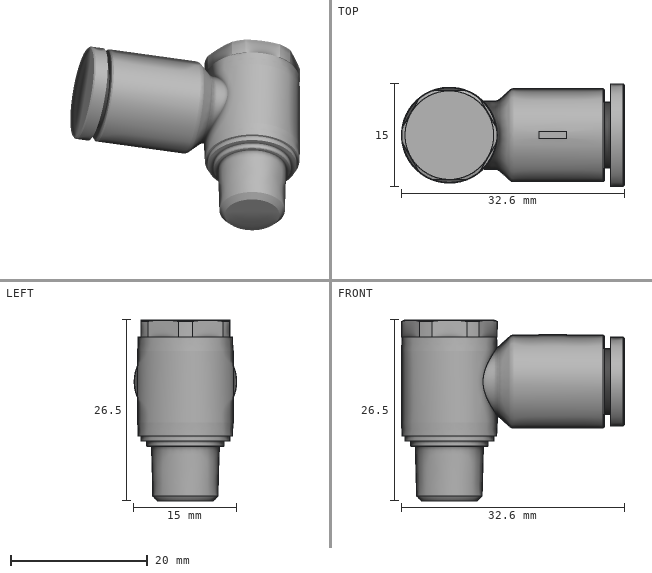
import cadquery as cq
import math

overall_length = 32.6

barrel_r = 7.0
barrel_end_r = 6.9
barrel_bottom_z = 9.52
lower_taper_z = 11.5
upper_taper_z = 21.95
barrel_top_z = 24.03

wide_step_r = 6.52
wide_step_bottom_z = 8.8
narrow_step_r = 5.67
narrow_step_bottom_z = 8.02
step_edge_chamfer = 0.1

spigot_top_r = 5.0
spigot_bottom_r = 4.8
spigot_chamfer = 0.78

head_top_z = 26.5
head_sides = 6
head_across_flats = 13.05
head_corner_r = barrel_r
head_top_r = 6.5
head_chamfer_height = 0.2

branch_z = 17.5
neck_r = 5.0
cone_start_x = 7.07
cone_end_x = 9.1
cone_blend_r = 0.9
sleeve_r = 6.8
sleeve_end_x = 22.7
edge_chamfer = 0.2
groove_r = 4.82

collar_start_x = 23.57
collar_end_x = overall_length - barrel_r
collar_width = 15.0
collar_height = 13.0

mark_start_x = 13.1
mark_length = 4.0
mark_width = 1.0
mark_rise = 0.1


def make_barrel():
    """Spigot, shoulders and barrel as one turned body."""
    profile = [
        (0, 0),
        (spigot_bottom_r - spigot_chamfer, 0),
        (spigot_bottom_r, spigot_chamfer),
        (spigot_top_r, narrow_step_bottom_z),
        (narrow_step_r - step_edge_chamfer, narrow_step_bottom_z),
        (narrow_step_r, narrow_step_bottom_z + step_edge_chamfer),
        (narrow_step_r, wide_step_bottom_z),
        (wide_step_r, wide_step_bottom_z),
        (wide_step_r, barrel_bottom_z),
        (barrel_end_r, barrel_bottom_z),
        (barrel_r, lower_taper_z),
        (barrel_r, upper_taper_z),
        (barrel_end_r, barrel_top_z),
        (0, barrel_top_z),
    ]
    return cq.Workplane("XZ").polyline(profile).close().revolve(360, (0, 0), (0, 1))


def make_head():
    """Hexagon with flats facing +Y and -Y, its corners and top edge turned."""
    across_corners = head_across_flats / math.cos(math.pi / head_sides)
    hexagon = (
        cq.Workplane("XY")
        .workplane(offset=barrel_top_z)
        .polygon(head_sides, across_corners)
        .extrude(head_top_z - barrel_top_z)
    )
    turned_profile = [
        (0, barrel_top_z),
        (head_corner_r, barrel_top_z),
        (head_corner_r, head_top_z - head_chamfer_height),
        (head_top_r, head_top_z),
        (0, head_top_z),
    ]
    turned = cq.Workplane("XZ").polyline(turned_profile).close().revolve(360, (0, 0), (0, 1))
    return hexagon.intersect(turned)


def make_branch():
    """Neck, cone, sleeve and groove, starting at the barrel's centre line."""
    profile = [
        (0, 0),
        (0, neck_r),
        (cone_start_x, neck_r),
        (cone_end_x, sleeve_r),
        (sleeve_end_x - edge_chamfer, sleeve_r),
        (sleeve_end_x, sleeve_r - edge_chamfer),
        (sleeve_end_x, groove_r),
        (collar_start_x, groove_r),
        (collar_start_x, 0),
    ]
    branch = cq.Workplane("XZ").polyline(profile).close().revolve(360, (0, 0), (1, 0))
    for x, radius in ((cone_start_x, neck_r), (cone_end_x, sleeve_r)):
        ring_zone = cq.selectors.BoxSelector(
            (x - edge_chamfer, -2 * radius, -2 * radius),
            (x + edge_chamfer, 2 * radius, 2 * radius),
            boundingbox=False,
        )
        branch = branch.edges("%CIRCLE").edges(ring_zone).fillet(cone_blend_r)
    return branch.translate((0, 0, branch_z))


def make_collar():
    """Oval disc with a chamfered outer edge."""
    return (
        cq.Workplane("YZ", origin=(collar_start_x, 0, branch_z))
        .ellipse(collar_width / 2, collar_height / 2)
        .extrude(collar_end_x - collar_start_x)
        .faces(">X")
        .edges()
        .chamfer(edge_chamfer)
    )


def make_mark():
    """Bar that starts on the branch axis and stands just proud of the sleeve."""
    return (
        cq.Workplane("XY", origin=(mark_start_x, 0, branch_z))
        .rect(mark_length, mark_width)
        .extrude(sleeve_r + mark_rise)
        .translate((mark_length / 2, 0, 0))
    )


result = make_barrel().union(make_head()).union(make_branch()).union(make_collar()).union(make_mark())